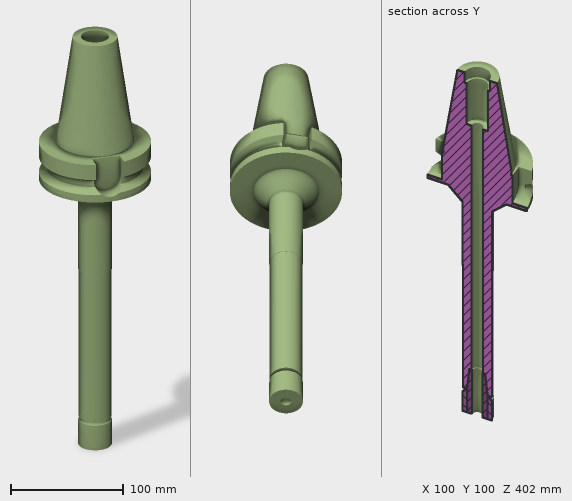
import cadquery as cq

total_height = 402.0
taper_length = 101.5
neck_gap = 1.5
flange_height = 37.0
shank_cone_height = 14.0
shank_step_z = 172.8
nut_height = 27.7

taper_small_radius = 20.0
taper_large_radius = 35.0
neck_radius = 34.0
flange_diameter = 100.0
flange_radius = flange_diameter / 2
groove_floor_radius = 43.5
lower_rim_height = 7.2
groove_floor_bottom = 12.0
groove_floor_top = 18.5
upper_rim_bottom = 22.0

drive_slot_width = 25.7
drive_slot_floor_x = 35.5
drive_slot_depth = 32.5

shank_diameter = 30.0
shank_radius = shank_diameter / 2
shank_step = 0.3
lower_shank_radius = shank_radius - shank_step

pilot_radius = 12.5
pilot_depth = 12.0
thread_bore_radius = 10.5
thread_bore_depth = 60.3
through_bore_radius = 5.5

nut_radius = shank_radius
nut_cone_height = 3.5
nut_cone_top_radius = 11.5
nut_cone_base_radius = 14.0
nut_collar_step = 0.12
nut_collar_radius = nut_radius - nut_collar_step
nut_body_height = 21.5

collet_front_radius = 10.0
collet_back_radius = 7.5
collet_height = 52.2
collet_bore_radius = 5.0

taper_base_z = total_height - taper_length
flange_top_z = taper_base_z - neck_gap
flange_bottom_z = flange_top_z - flange_height
shank_cone_end_z = flange_bottom_z - shank_cone_height
shank_cone_radius = shank_radius + shank_cone_height


def revolve_profile(points):
    """Turn a closed (radius, height) outline about the Z axis."""
    return cq.Workplane("XZ").polyline(points).close().revolve(360, (0, 0), (0, 1))


def cylinder(radius, bottom_z, top_z):
    return cq.Workplane("XY").workplane(offset=bottom_z).circle(radius).extrude(top_z - bottom_z)


def collet_outline():
    """Solid envelope of the collet: straight inside the nut, tapered inside the holder."""
    return revolve_profile([
        (0, 0),
        (collet_front_radius, 0),
        (collet_front_radius, nut_height),
        (collet_back_radius, collet_height),
        (0, collet_height),
    ])


def drive_slot(side):
    """Cutter for one drive slot; side is +1 or -1 along X."""
    half_width = drive_slot_width / 2
    arc_center_z = flange_top_z - drive_slot_depth + half_width
    return (
        cq.Workplane("YZ")
        .workplane(offset=side * drive_slot_floor_x)
        .moveTo(-half_width, flange_top_z)
        .lineTo(-half_width, arc_center_z)
        .threePointArc((0, arc_center_z - half_width), (half_width, arc_center_z))
        .lineTo(half_width, flange_top_z)
        .close()
        .extrude(side * (flange_radius - drive_slot_floor_x))
    )


def make_holder():
    body = revolve_profile([
        (0, nut_height),
        (lower_shank_radius, nut_height),
        (lower_shank_radius, shank_step_z),
        (shank_radius, shank_step_z),
        (shank_radius, shank_cone_end_z),
        (shank_cone_radius, flange_bottom_z),
        (flange_radius, flange_bottom_z),
        (flange_radius, flange_bottom_z + lower_rim_height),
        (groove_floor_radius, flange_bottom_z + groove_floor_bottom),
        (groove_floor_radius, flange_bottom_z + groove_floor_top),
        (flange_radius, flange_bottom_z + upper_rim_bottom),
        (flange_radius, flange_top_z),
        (neck_radius, flange_top_z),
        (neck_radius, taper_base_z),
        (taper_large_radius, taper_base_z),
        (taper_small_radius, total_height),
        (0, total_height),
    ])
    for side in (-1, 1):
        body = body.cut(drive_slot(side))
    body = body.cut(cylinder(pilot_radius, total_height - pilot_depth, total_height))
    body = body.cut(cylinder(thread_bore_radius, total_height - thread_bore_depth, total_height))
    body = body.cut(cylinder(through_bore_radius, 0, total_height))
    return body.cut(collet_outline())


def make_nut():
    cone_base_z = nut_height - nut_cone_height
    return revolve_profile([
        (collet_front_radius, 0),
        (nut_radius, 0),
        (nut_radius, nut_body_height),
        (nut_collar_radius, nut_body_height),
        (nut_collar_radius, cone_base_z),
        (nut_cone_base_radius, cone_base_z),
        (nut_cone_top_radius, nut_height),
        (collet_front_radius, nut_height),
    ])


def make_collet():
    return collet_outline().cut(cylinder(collet_bore_radius, 0, collet_height))


holder = make_holder()
nut = make_nut()
collet = make_collet()

result = cq.Compound.makeCompound([holder.val(), nut.val(), collet.val()])